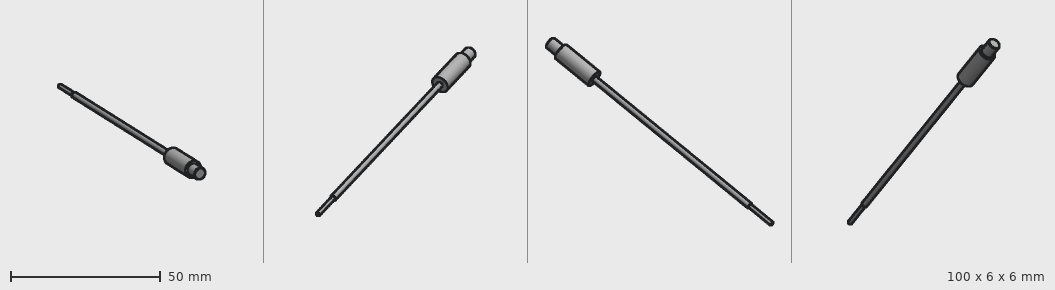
import cadquery as cq

total_length = 100.0
tip_length = 10.0
body_length = 15.0
plug_length = 5.0
rod_length = total_length - tip_length - body_length - plug_length

tip_diameter = 1.5
rod_diameter = 2.1
body_diameter = 6.0
plug_diameter = 4.2

plug_chamfer = 0.2


def stepped_shaft(sections):
    """Stack coaxial cylinders along +X, centred lengthwise on the origin."""
    shaft = cq.Workplane("YZ")
    start = -total_length / 2
    for diameter, length in sections:
        cylinder = cq.Workplane("YZ").workplane(offset=start).circle(diameter / 2).extrude(length)
        shaft = shaft.union(cylinder)
        start += length
    return shaft


result = stepped_shaft([
    (tip_diameter, tip_length),
    (rod_diameter, rod_length),
    (body_diameter, body_length),
    (plug_diameter, plug_length),
])

result = result.faces(">X").edges().chamfer(plug_chamfer)